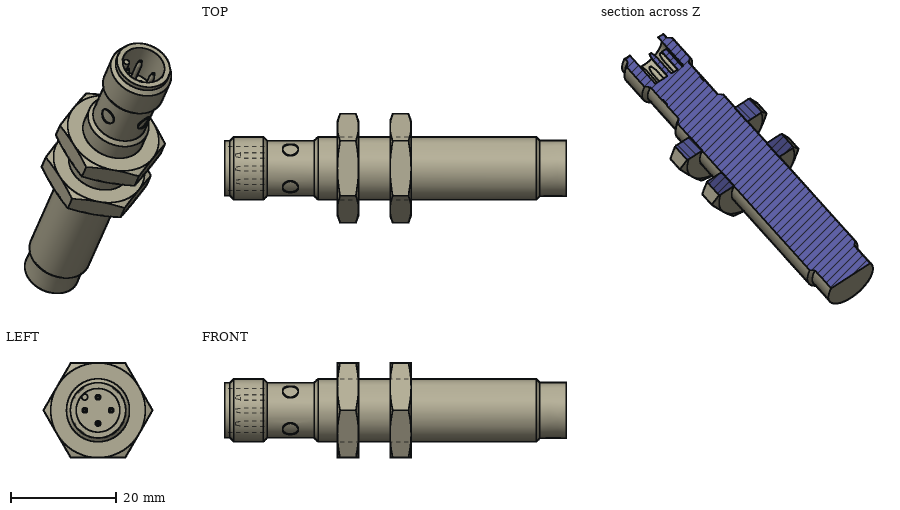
import cadquery as cq
import math

length = 64.97
body_diameter = 12.0
neck_diameter = 10.5
collar_start = 1.0
collar_end = 8.1
thread_start = 17.0
tail_start = 59.9
tail_end_diameter = 10.68
tail_waist_diameter = 10.6
bevel = (body_diameter - neck_diameter) / 2

socket_diameter = 8.3
socket_depth = 8.0
pin_count = 4
pin_diameter = 1.0
pin_circle_radius = 2.5
pin_length = 6.0
pin_tip_length = 1.25
pin_tip_inset = 0.25
key_diameter = 1.15
key_length = 5.0
key_offset = 2.52

window_count = 4
window_diameter = 3.0
window_x = 12.5
window_floor_diameter = 10.11

nut_count = 2
nut_across_flats = 18.0
nut_thickness = 4.0
first_nut_x = 21.45
nut_pitch = 10.0
nut_corner_bevel = 0.5


def rod(diameter, start, rod_length, y=0.0, z=0.0):
    """Cylinder along X."""
    return cq.Workplane("YZ", origin=(start, y, z)).circle(diameter / 2).extrude(rod_length)


def revolve_about_x(profile):
    """Turn a closed profile, drawn as X against radius, about the X axis."""
    return profile.close().revolve(360, (0, 0, 0), (1, 0, 0))


def make_turned_shell():
    """Outer shape: nose, collar, neck, threaded barrel and slightly waisted tail."""
    body_radius = body_diameter / 2
    neck_radius = neck_diameter / 2
    tail_radius = tail_end_diameter / 2
    tail_bevel = body_radius - tail_radius
    profile = (
        cq.Workplane("XY")
        .lineTo(0, neck_radius)
        .lineTo(collar_start, neck_radius)
        .lineTo(collar_start + bevel, body_radius)
        .lineTo(collar_end - bevel, body_radius)
        .lineTo(collar_end, neck_radius)
        .lineTo(thread_start, neck_radius)
        .lineTo(thread_start + bevel, body_radius)
        .lineTo(tail_start - tail_bevel, body_radius)
        .lineTo(tail_start, tail_radius)
        .threePointArc(((tail_start + length) / 2, tail_waist_diameter / 2), (length, tail_radius))
        .lineTo(length, 0)
    )
    return revolve_about_x(profile)


def make_windows():
    """Shallow round recesses with a cylindrical floor, halfway between the Y and Z axes."""
    drill = cq.Workplane("XY", origin=(window_x, 0, 0)).circle(window_diameter / 2).extrude(body_diameter)
    core = rod(window_floor_diameter, 0, length)
    step = 360 / window_count
    windows = []
    for i in range(window_count):
        turned = drill.rotate((0, 0, 0), (1, 0, 0), step * (i + 0.5))
        windows.append(turned.cut(core))
    return windows


def make_pins():
    """Contact pins with tapered tips, standing on the socket floor."""
    pins = []
    for i in range(pin_count):
        angle = 2 * math.pi * i / pin_count
        y = pin_circle_radius * math.cos(angle)
        z = pin_circle_radius * math.sin(angle)
        pin = rod(pin_diameter, socket_depth - pin_length, pin_length, y, z)
        pins.append(pin.faces("<X").chamfer(pin_tip_length, pin_tip_inset))
    return pins


def make_sensor():
    sensor = make_turned_shell().cut(rod(socket_diameter, 0, socket_depth))
    for window in make_windows():
        sensor = sensor.cut(window)
    for pin in make_pins():
        sensor = sensor.union(pin)
    key = rod(key_diameter, socket_depth - key_length, key_length, key_offset, key_offset)
    return sensor.union(key)


def make_nut(start):
    """Hexagon nut with two flats facing Z and its corners bevelled on both faces."""
    corner_diameter = nut_across_flats / math.cos(math.pi / 6)
    hexagon = cq.Workplane("YZ", origin=(start, 0, 0)).polygon(6, corner_diameter).extrude(nut_thickness)
    flat_radius = nut_across_flats / 2
    corner_radius = corner_diameter / 2
    end = start + nut_thickness
    bevel_envelope = revolve_about_x(
        cq.Workplane("XY")
        .moveTo(start, 0)
        .lineTo(start, flat_radius)
        .lineTo(start + nut_corner_bevel, corner_radius)
        .lineTo(end - nut_corner_bevel, corner_radius)
        .lineTo(end, flat_radius)
        .lineTo(end, 0)
    )
    return hexagon.intersect(bevel_envelope).cut(rod(body_diameter, start, nut_thickness))


sensor_body = make_sensor()
nuts = [make_nut(first_nut_x + nut_pitch * i) for i in range(nut_count)]
result = cq.Compound.makeCompound([sensor_body.val(), *[nut.val() for nut in nuts]])